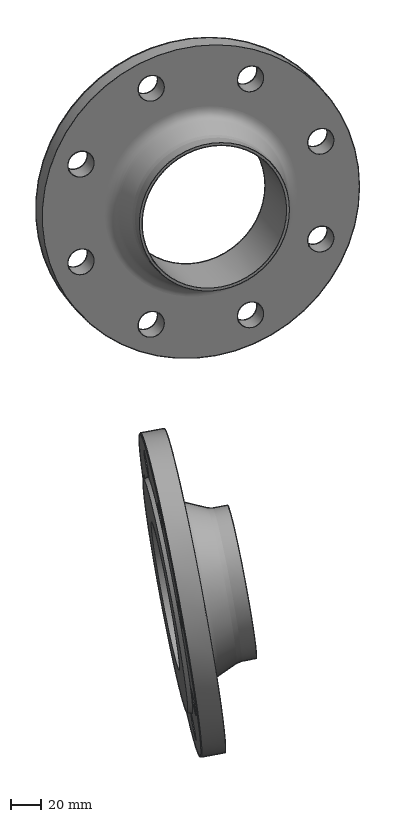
import cadquery as cq

total_length = 52.0
flange_diameter = 220.0
flange_front = 3.0
flange_back = 19.8
flange_chamfer = 0.7

face_diameter = 158.0
face_root_diameter = 160.5

hub_base_diameter = 122.0
neck_diameter = 104.0
neck_start = 40.0
hub_fillet = 8.8
bore_diameter = 100.0

bolt_count = 8
bolt_hole_diameter = 18.0
bolt_circle_diameter = 180.0
first_bolt_angle = 180.0 / bolt_count


def flange_body():
    """Revolve the solid outline: raised face, flange disc, conical hub and neck."""
    rim = flange_diameter / 2
    outline = [
        (0, 0),
        (0, face_diameter / 2),
        (flange_front, face_root_diameter / 2),
        (flange_front, rim - flange_chamfer),
        (flange_front + flange_chamfer, rim),
        (flange_back, rim),
        (flange_back, hub_base_diameter / 2),
        (neck_start, neck_diameter / 2),
        (total_length, neck_diameter / 2),
        (total_length, 0),
    ]
    return cq.Workplane("XY").polyline(outline).close().revolve(360, (0, 0, 0), (1, 0, 0))


def round_hub(body):
    """Blend both ends of the conical hub into the flange and the neck."""
    edge_margin = 0.2
    for position, diameter in ((flange_back, hub_base_diameter), (neck_start, neck_diameter)):
        reach = diameter / 2 + edge_margin
        selector = cq.selectors.BoxSelector(
            (position - edge_margin, -reach, -reach),
            (position + edge_margin, reach, reach),
            boundingbox=True,
        )
        body = body.edges(selector).fillet(hub_fillet)
    return body


def bore():
    return cq.Workplane("YZ").circle(bore_diameter / 2).extrude(total_length)


def bolt_holes():
    return (
        cq.Workplane("YZ")
        .polarArray(bolt_circle_diameter / 2, first_bolt_angle, 360, bolt_count)
        .circle(bolt_hole_diameter / 2)
        .extrude(flange_back)
    )


result = round_hub(flange_body()).cut(bore()).cut(bolt_holes())